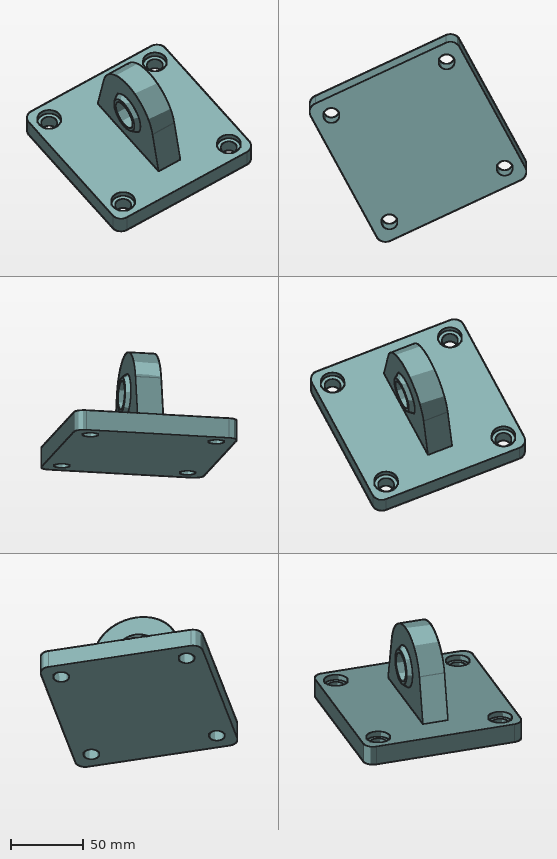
import cadquery as cq
import math

plate_side = 115.0
plate_thickness = 14.0
plate_corner_radius = 7.0
bolt_spacing = 89.0
bolt_hole_diameter = 11.0
counterbore_diameter = 16.6
counterbore_depth = 4.0

overall_height = 71.0
eye_radius = 30.0
eye_thickness = 18.3
eye_base_width = 73.4
eye_center_z = overall_height - eye_radius

ball_diameter = 35.0
ball_width = 25.0
bore_diameter = 20.0


def make_ball_blank():
    """Full sphere at the eye centre."""
    return cq.Workplane("XY").sphere(ball_diameter / 2).translate((0, 0, eye_center_z))


def make_plate():
    """Rounded square plate with four counterbored bolt holes."""
    return (
        cq.Workplane("XY")
        .box(plate_side, plate_side, plate_thickness, centered=(True, True, False))
        .edges("|Z")
        .fillet(plate_corner_radius)
        .faces(">Z")
        .workplane()
        .rect(bolt_spacing, bolt_spacing, forConstruction=True)
        .vertices()
        .cboreHole(bolt_hole_diameter, counterbore_diameter, counterbore_depth)
    )


def make_eye():
    """Upright whose straight flanks run tangent into its round top."""
    foot_x = eye_base_width / 2
    foot_drop = eye_center_z - plate_thickness
    foot_distance = math.hypot(foot_x, foot_drop)
    tangent_angle = math.acos(eye_radius / foot_distance) - math.atan2(foot_drop, foot_x)
    tangent_x = eye_radius * math.cos(tangent_angle)
    tangent_z = eye_center_z + eye_radius * math.sin(tangent_angle)
    return (
        cq.Workplane("XZ")
        .moveTo(-foot_x, plate_thickness)
        .lineTo(foot_x, plate_thickness)
        .lineTo(tangent_x, tangent_z)
        .threePointArc((0, overall_height), (-tangent_x, tangent_z))
        .close()
        .extrude(eye_thickness / 2, both=True)
    )


def make_bracket():
    """Plate and eye in one piece, with a spherical seat for the ball."""
    return make_plate().union(make_eye()).cut(make_ball_blank())


def make_bearing_ball():
    """Sphere with flat ends and a through bore along Y."""
    flat_faced_slab = (
        cq.Workplane("XY")
        .box(ball_diameter, ball_width, ball_diameter)
        .translate((0, 0, eye_center_z))
    )
    bore = (
        cq.Workplane("XZ")
        .center(0, eye_center_z)
        .circle(bore_diameter / 2)
        .extrude(ball_width, both=True)
    )
    return make_ball_blank().intersect(flat_faced_slab).cut(bore)


bracket = make_bracket()
bearing_ball = make_bearing_ball()

result = cq.Compound.makeCompound([bracket.solids().val(), bearing_ball.solids().val()])